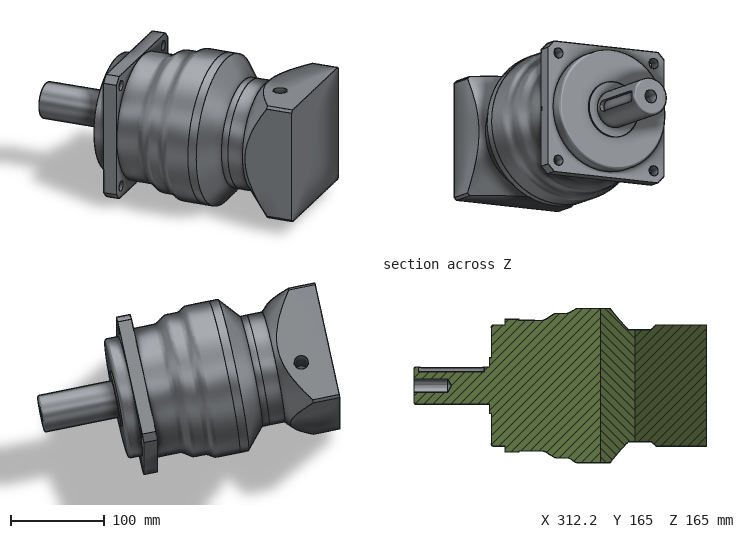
import cadquery as cq
import math

TOTAL_LENGTH = 312.2

SHAFT_DIAMETER = 40.0
SHAFT_TIP_RADIUS = 2.2
KEYWAY_WIDTH = 12.0
KEYWAY_DEPTH = 5.0
KEYWAY_START_X = 5.0
KEYWAY_LENGTH = 70.0
TIP_HOLE_DIAMETER = 14.0
TIP_HOLE_DEPTH = 36.0
DRILL_POINT_ANGLE = 120.0

SEAL_FRONT_X = 80.5
SEAL_DIAMETER = 60.0
PILOT_FRONT_X = 82.5
PILOT_DIAMETER = 130.0
PILOT_EDGE_RADIUS = 2.8

FLANGE_FRONT_X = 97.0
FLANGE_THICKNESS = 15.0
FLANGE_BACK_X = FLANGE_FRONT_X + FLANGE_THICKNESS
FLANGE_SIDE = 142.0
FLANGE_CORNER_CHAMFER = 7.5
FLANGE_HOLE_DIAMETER = 11.0
FLANGE_HOLE_SPACING = 116.8

HOUSING_DIAMETER = 140.0
RING_DIAMETER = 155.0
DRUM_DIAMETER = 165.0
FIRST_CONE_START_X = 139.2
FIRST_CONE_END_X = 150.2
SECOND_CONE_START_X = 165.5
SECOND_CONE_END_X = 173.0
CONE_BLEND_RADIUS = 7.8

COVER_FRONT_X = 199.5
COVER_CONE_START_X = 209.2
COVER_CONE_END_X = 228.8
NECK_DIAMETER = 120.0

ADAPTER_FRONT_X = 236.3
ADAPTER_CONE_START_X = 253.2
ADAPTER_SIDE = 130.0
ADAPTER_CORNER_DIAMETER = 179.8
ACCESS_HOLE_DIAMETER = 15.0
ACCESS_HOLE_X = 279.7
ACCESS_HOLE_Y = -19.0
ACCESS_HOLE_DEPTH = 40.0


def cylinder(start_x, end_x, diameter):
    """Solid cylinder on the gearbox axis."""
    return turned([(start_x, diameter), (end_x, diameter)])


def square_bar(start_x, end_x, side):
    """Solid square bar centred on the gearbox axis."""
    return cq.Workplane("YZ").workplane(offset=start_x).rect(side, side).extrude(end_x - start_x)


def turned(outline):
    """Solid of revolution about the gearbox axis from (x, diameter) steps."""
    start_x = outline[0][0]
    end_x, end_diameter = outline[-1]
    points = [(start_x, 0)] + [(x, diameter / 2) for x, diameter in outline]
    if end_diameter > 0:
        points.append((end_x, 0))
    return cq.Workplane("XZ").polyline(points).close().revolve(360, (0, 0, 0), (1, 0, 0))


def make_shaft():
    """Output shaft with its keyway on the +Y side and a drilled hole with a conical bottom in its tip."""
    shaft = cylinder(0, PILOT_FRONT_X, SHAFT_DIAMETER).faces("<X").edges().fillet(SHAFT_TIP_RADIUS)

    keyway_floor_y = SHAFT_DIAMETER / 2 - KEYWAY_DEPTH
    keyway = (
        cq.Workplane("XZ")
        .workplane(offset=-keyway_floor_y)
        .center(KEYWAY_START_X + KEYWAY_LENGTH / 2, 0)
        .slot2D(KEYWAY_LENGTH, KEYWAY_WIDTH)
        .extrude(-SHAFT_DIAMETER)
    )

    drill_point_length = TIP_HOLE_DIAMETER / 2 / math.tan(math.radians(DRILL_POINT_ANGLE / 2))
    drill_tip_x = TIP_HOLE_DEPTH + drill_point_length
    tip_hole = turned([(0, TIP_HOLE_DIAMETER), (TIP_HOLE_DEPTH, TIP_HOLE_DIAMETER), (drill_tip_x, 0)])
    return shaft.cut(keyway).cut(tip_hole)


def make_flange():
    """Square flange with chamfered corners and four mounting holes."""
    return (
        square_bar(FLANGE_FRONT_X, FLANGE_BACK_X, FLANGE_SIDE)
        .edges("|X")
        .chamfer(FLANGE_CORNER_CHAMFER)
        .faces("<X")
        .workplane(origin=(FLANGE_FRONT_X, 0, 0))
        .rect(FLANGE_HOLE_SPACING, FLANGE_HOLE_SPACING, forConstruction=True)
        .vertices()
        .hole(FLANGE_HOLE_DIAMETER)
    )


def make_stepped_housing():
    """Turned housing behind the flange, with rounded transitions at both cones."""
    stepped = turned(
        [
            (FLANGE_BACK_X, HOUSING_DIAMETER),
            (FIRST_CONE_START_X, HOUSING_DIAMETER),
            (FIRST_CONE_END_X, RING_DIAMETER),
            (SECOND_CONE_START_X, RING_DIAMETER),
            (SECOND_CONE_END_X, DRUM_DIAMETER),
            (COVER_FRONT_X, DRUM_DIAMETER),
        ]
    )
    cone_edges = cq.selectors.BoxSelector(
        ((FLANGE_BACK_X + FIRST_CONE_START_X) / 2, -DRUM_DIAMETER, -DRUM_DIAMETER),
        ((SECOND_CONE_END_X + COVER_FRONT_X) / 2, DRUM_DIAMETER, DRUM_DIAMETER),
    )
    return stepped.edges("%CIRCLE").edges(cone_edges).fillet(CONE_BLEND_RADIUS)


def make_gearbox():
    """Gearbox body: shaft, seal ring, pilot, flange and stepped housing."""
    seal = cylinder(SEAL_FRONT_X, PILOT_FRONT_X, SEAL_DIAMETER)
    pilot = cylinder(PILOT_FRONT_X, FLANGE_FRONT_X, PILOT_DIAMETER)
    pilot = pilot.faces("<X").edges().fillet(PILOT_EDGE_RADIUS)
    return make_shaft().union(seal).union(pilot).union(make_flange()).union(make_stepped_housing())


def make_input_cover():
    """Cover that narrows from the drum to the neck."""
    return turned(
        [
            (COVER_FRONT_X, DRUM_DIAMETER),
            (COVER_CONE_START_X, DRUM_DIAMETER),
            (COVER_CONE_END_X, NECK_DIAMETER),
            (ADAPTER_FRONT_X, NECK_DIAMETER),
        ]
    )


def make_motor_adapter():
    """Square adapter turned down to the neck, with an access hole in its top face."""
    cone_length = (ADAPTER_CORNER_DIAMETER - NECK_DIAMETER) / 2
    envelope = turned(
        [
            (ADAPTER_FRONT_X, NECK_DIAMETER),
            (ADAPTER_CONE_START_X, NECK_DIAMETER),
            (ADAPTER_CONE_START_X + cone_length, ADAPTER_CORNER_DIAMETER),
            (TOTAL_LENGTH, ADAPTER_CORNER_DIAMETER),
        ]
    )
    block = square_bar(ADAPTER_FRONT_X, TOTAL_LENGTH, ADAPTER_SIDE).intersect(envelope)
    access_hole = (
        cq.Workplane("XY")
        .workplane(offset=ADAPTER_SIDE / 2)
        .center(ACCESS_HOLE_X, ACCESS_HOLE_Y)
        .circle(ACCESS_HOLE_DIAMETER / 2)
        .extrude(-ACCESS_HOLE_DEPTH)
    )
    return block.cut(access_hole)


gearbox = make_gearbox()
input_cover = make_input_cover()
motor_adapter = make_motor_adapter()

result = cq.Compound.makeCompound([gearbox.val(), input_cover.val(), motor_adapter.val()])